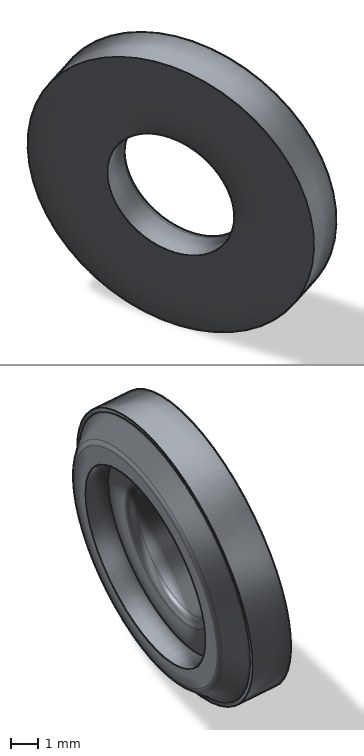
import cadquery as cq


outer_radius = 6.0
bore_radius = 2.65
thickness = 2.5

rim_height = thickness * 2 / 3
ledge_width = 1 / 6
cone_height = thickness - rim_height
cone_base_radius = outer_radius - ledge_width
crown_radius = cone_base_radius - cone_height

recess_radius = 4.1
recess_depth = 0.99
recess_floor = thickness - recess_depth

edge_fillet = 0.3


def washer_body():
    """Revolve the half section, drawn as (Y, radius), about the Y axis."""
    section = (
        cq.Workplane("YZ")
        .moveTo(0, bore_radius)
        .lineTo(0, outer_radius)
        .lineTo(rim_height, outer_radius)
        .lineTo(rim_height, cone_base_radius)
        .lineTo(thickness, crown_radius)
        .lineTo(thickness, recess_radius)
        .lineTo(recess_floor, recess_radius)
        .lineTo(recess_floor, bore_radius)
        .close()
    )
    return section.revolve(360, (0, 0, 0), (1, 0, 0))


def circular_edges(body, radius, y):
    """Return the circular edges of one radius lying at height y."""
    tolerance = 1e-4
    return [
        edge
        for edge in body.edges("%CIRCLE").vals()
        if abs(edge.radius() - radius) < tolerance and abs(edge.Center().y - y) < tolerance
    ]


def round_edges(body):
    """Round the outer crown edge and the inner edge of the recess floor."""
    crown_edges = circular_edges(body, crown_radius, thickness)
    bore_edges = circular_edges(body, bore_radius, recess_floor)
    return body.newObject(crown_edges + bore_edges).fillet(edge_fillet)


result = round_edges(washer_body())